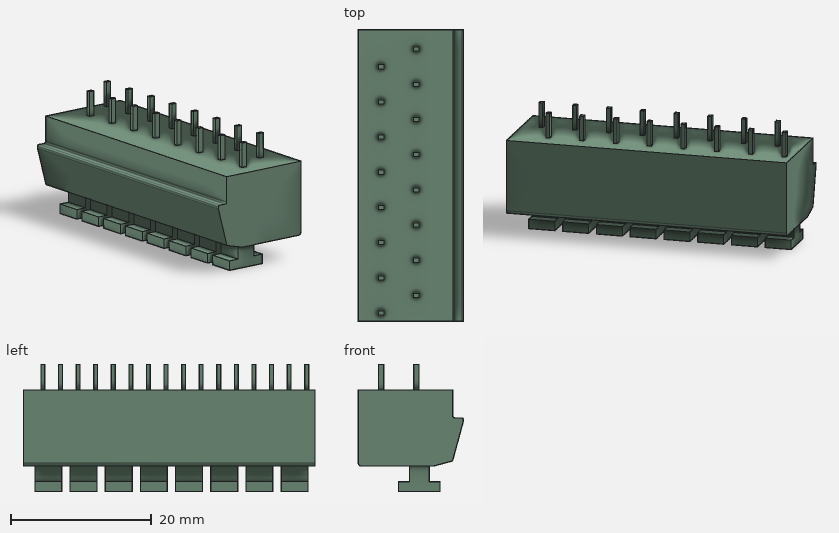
import cadquery as cq

length = 41.5
total_width = 15.0
total_height = 18.1
block_width = 13.5
pin_height = 3.6
button_height = 3.6
housing_height = total_height - pin_height - button_height

lip_top = 6.9
lip_edge_bottom = 6.4
knee_x = 13.45
knee_z = 0.75
bottom_flat_end = 10.7
bottom_corner_radius = 0.5
lip_radius = 0.25

pin_count = 16
pin_size_x = 0.8
pin_size_y = 0.6
pin_row_x = (3.28, 8.3)
first_pin_y = 1.2
pin_span = 37.5
pin_pitch = pin_span / (pin_count - 1)

button_count = pin_count // 2
button_pitch = 2 * pin_pitch
button_length = 3.85
first_button_y = 1.0
button_center_x = 8.7
stem_width = 2.85
foot_width = 5.95
foot_height = 1.4

overlap = 0.4


def make_housing():
    body = (
        cq.Workplane("XZ")
        .moveTo(0, 0)
        .lineTo(bottom_flat_end, 0)
        .lineTo(knee_x, knee_z)
        .lineTo(total_width, lip_edge_bottom)
        .lineTo(total_width, lip_top)
        .lineTo(block_width, lip_top)
        .lineTo(block_width, housing_height)
        .lineTo(0, housing_height)
        .close()
        .extrude(-length)
    )
    bottom_corner = cq.selectors.NearestToPointSelector((0, length / 2, 0))
    lip_outer_corner = cq.selectors.NearestToPointSelector((total_width, length / 2, lip_top))
    lip_inner_corner = cq.selectors.NearestToPointSelector((block_width, length / 2, lip_top))
    body = body.edges(bottom_corner).fillet(bottom_corner_radius)
    body = body.edges(lip_outer_corner).fillet(lip_radius)
    return body.edges(lip_inner_corner).fillet(lip_radius)


def make_pins():
    pin_centers = [
        (pin_row_x[index % 2], first_pin_y + index * pin_pitch)
        for index in range(pin_count)
    ]
    return (
        cq.Workplane("XY", origin=(0, 0, housing_height - overlap))
        .pushPoints(pin_centers)
        .rect(pin_size_x, pin_size_y)
        .extrude(pin_height + overlap)
    )


def make_button(y_start):
    y_center = y_start + button_length / 2
    section = cq.Workplane("XY", origin=(button_center_x, y_center, -button_height))
    foot = section.rect(foot_width, button_length).extrude(foot_height)
    stem = section.rect(stem_width, button_length).extrude(button_height + overlap)
    return foot.union(stem)


result = make_housing().union(make_pins())
for button_index in range(button_count):
    result = result.union(make_button(first_button_y + button_index * button_pitch))